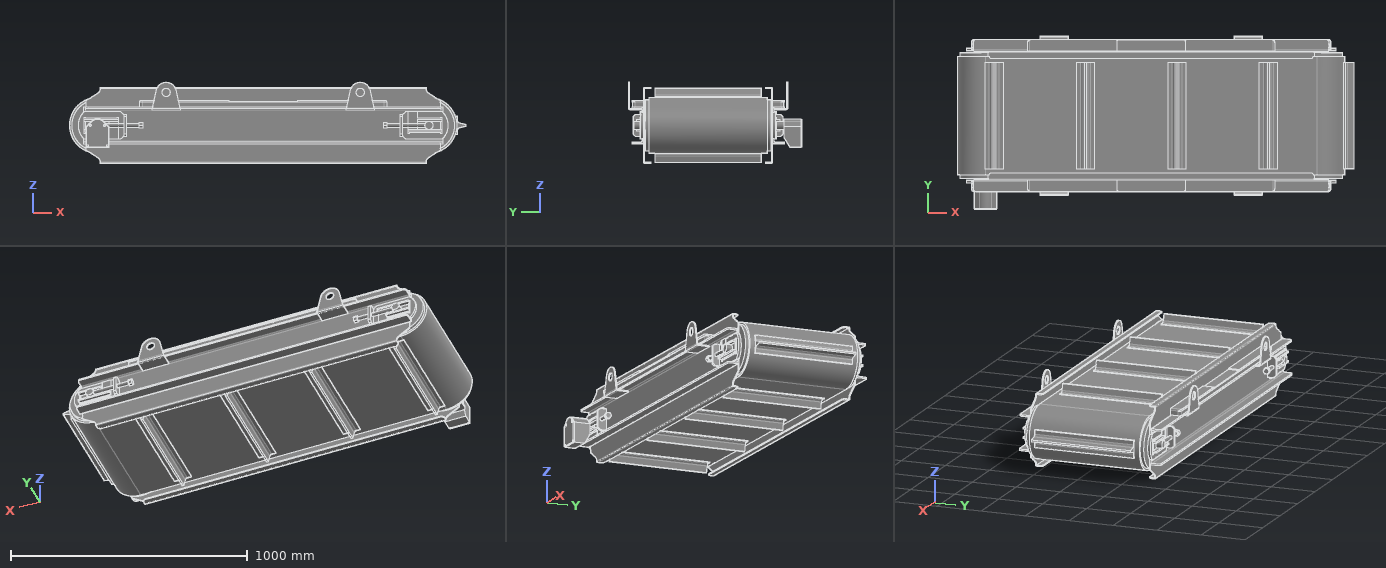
import cadquery as cq
import math

PULLEY_SPACING = 1400.0
PULLEY_DIA = 217.0
PULLEY_LENGTH = 532.0
SHAFT_DIA = 35.0
SHAFT_LENGTH = 626.0

BELT_THICKNESS = 10.0
BELT_WIDTH = 500.0

CLEAT_LENGTH = 450.0
CLEAT_HEIGHT = 38.5
CLEAT_PAD_WIDTH = 78.0
CLEAT_PAD_HEIGHT = 3.0
CLEAT_RIB_WIDTH = 25.0
CLEAT_FILLET = 10.0
CLEAT_ROOT_DEPTH = 8.0
CLEAT_TIP_WIDTH = 8.0
CLEAT_PITCH = 386.5
CLEAT_ROW_START = -664.0
CLEATS_PER_ROW = 4

PLATE_OUTER_Y = 273.0
PLATE_THICKNESS = 5.0
PLATE_HALF_HEIGHT = 160.0
PLATE_HALF_LENGTH = 749.0
PLATE_EDGE_HALF_LENGTH = 689.0
PLATE_STEP_Z = 143.0
PLATE_SHOULDER_Z = 104.0
PLATE_STEP_RADIUS = 20.0
LIP_WIDTH = 31.0
LIP_BEND_RADIUS = 5.0
LIP_CHAMFER = 10.0

CHANNEL_HALF_LENGTH = 759.0
CHANNEL_HALF_HEIGHT = 78.0
CHANNEL_THICKNESS = 6.0
FLANGE_THICKNESS = 7.0
FLANGE_OUTER_Y = 322.0
FLANGE_BEND_RADIUS = 6.0
TOP_FLANGE_HALF_LENGTH = 751.0
FLANGE_CORNER_RADIUS = 12.0

BOX_HALF_LENGTH = 522.0
BOX_TOP_Z = 106.0
BOX_EDGE_RADIUS = 7.0
BOX_INSET = 2.0
BOX_CAP_THICKNESS = 8.0
COVER_HALF_LENGTH = 145.0
COVER_THICKNESS = 4.0

LUG_X = 410.0
LUG_OUTER_Y = 337.0
LUG_THICKNESS = 5.0
LUG_TOP_Z = 182.35
LUG_RADIUS = 43.0
LUG_HOLE_DIA = 35.0
LUG_BASE_WIDTH = 120.0
LUG_BEND_RADIUS = 8.0

TAKEUP_THICKNESS = 6.0
TAKEUP_RADIUS = 81.0
TAKEUP_HALF_HEIGHT = 58.0
TAKEUP_INNER_X = 588.0
TAKEUP_CHAMFER = 14.0

GUIDE_RIB_DEPTH = 18.0
GUIDE_RIB_THICKNESS = 7.0
GUIDE_BASE_DEPTH = 3.0
GUIDE_BASE_WIDTH = 13.0
GUIDE_INNER_X = 612.0
GUIDE_OUTER_X = 756.0
GUIDE_END_THICKNESS = 6.0
GUIDE_END_HALF_HEIGHT = 34.0
KEEPER_WIDTH = 40.0

BRACKET_THICKNESS = 11.0
BRACKET_DEPTH = 32.0
BRACKET_HALF_HEIGHT = 47.0
BRACKET_CHAMFER = 10.0

ROD_DIA = 16.0
ROD_Y = 300.0
ROD_END_X = 508.0
ROD_HEAD_LENGTH = 16.0
ROD_HEAD_FLATS = 24.0

GEARBOX_BACK_Y = -320.0
GEARBOX_FRONT_Y = -397.5
GEARBOX_HALF_WIDTH = 48.0
GEARBOX_RADIUS = 36.0
GEARBOX_ARC_Z = -8.0
GEARBOX_BOTTOM_Z = -93.0
GEARBOX_CHAMFER_Y = 26.0
GEARBOX_CHAMFER_Z = 42.0
GEARBOX_COVER_INSET = 2.0
GEARBOX_COVER_THICKNESS = 5.0
GEARBOX_HOLE_DIA = 8.0
GEARBOX_HOLE_DEPTH = 5.0
GEARBOX_HOLES = [(-30.0, 0.0), (30.0, 0.0), (-42.0, -86.0), (42.0, -86.0)]

PULLEY_X = PULLEY_SPACING / 2
PULLEY_RADIUS = PULLEY_DIA / 2
BELT_RADIUS = PULLEY_RADIUS + BELT_THICKNESS
CHANNEL_OUTER_Y = PLATE_OUTER_Y + CHANNEL_THICKNESS
TAKEUP_OUTER_Y = CHANNEL_OUTER_Y + TAKEUP_THICKNESS
FLANGE_INNER_Z = CHANNEL_HALF_HEIGHT - FLANGE_THICKNESS


def along_y(y_min, y_max):
    """Workplane in X-Z whose extrusion of y_max - y_min fills y_min to y_max."""
    return cq.Workplane("XZ", origin=(0, y_max, 0))


def block(x_range, y_range, z_range):
    """Box given by its limits along each axis."""
    spans = [high - low for low, high in (x_range, y_range, z_range)]
    corner = (x_range[0], y_range[0], z_range[0])
    return cq.Workplane("XY").box(*spans, centered=False).translate(corner)


def make_belt():
    """Flat belt loop around the two pulleys."""
    plane = along_y(-BELT_WIDTH / 2, BELT_WIDTH / 2)
    outer = plane.slot2D(PULLEY_SPACING + 2 * BELT_RADIUS, 2 * BELT_RADIUS).extrude(BELT_WIDTH)
    inner = plane.slot2D(PULLEY_SPACING + PULLEY_DIA, PULLEY_DIA).extrude(BELT_WIDTH)
    return outer.cut(inner)


def make_pulleys():
    """Two pulleys on their shafts."""
    centres = [(-PULLEY_X, 0), (PULLEY_X, 0)]
    half_drum = PULLEY_LENGTH / 2
    half_shaft = SHAFT_LENGTH / 2
    drums = along_y(-half_drum, half_drum).pushPoints(centres).circle(PULLEY_RADIUS).extrude(PULLEY_LENGTH)
    shafts = along_y(-half_shaft, half_shaft).pushPoints(centres).circle(SHAFT_DIA / 2).extrude(SHAFT_LENGTH)
    return drums.union(shafts)


def make_cleat():
    """Cleat standing up on the top run of the belt at X = 0."""
    root = BELT_RADIUS - CLEAT_ROOT_DEPTH
    pad_top = BELT_RADIUS + CLEAT_PAD_HEIGHT
    half_profile = [
        (CLEAT_PAD_WIDTH / 2, root),
        (CLEAT_PAD_WIDTH / 2, pad_top),
        (CLEAT_RIB_WIDTH / 2, pad_top),
        (CLEAT_TIP_WIDTH / 2, BELT_RADIUS + CLEAT_HEIGHT),
    ]
    other_half = [(-x, z) for x, z in reversed(half_profile)]
    plane = along_y(-CLEAT_LENGTH / 2, CLEAT_LENGTH / 2)
    cleat = plane.polyline(half_profile + other_half).close().extrude(CLEAT_LENGTH)
    rib_feet = cq.selectors.BoxSelector(
        (-CLEAT_RIB_WIDTH, -CLEAT_LENGTH, pad_top - 1),
        (CLEAT_RIB_WIDTH, CLEAT_LENGTH, pad_top + 1),
    )
    return cleat.edges("|Y").edges(rib_feet).fillet(CLEAT_FILLET)


def make_cleats():
    """Cleats on both runs of the belt and one at the +X pulley."""
    cleat = make_cleat()
    cleats = cleat.rotate((0, 0, 0), (0, 1, 0), 90).translate((PULLEY_X, 0, 0))
    for index in range(CLEATS_PER_ROW):
        upper = cleat.translate((CLEAT_ROW_START + index * CLEAT_PITCH, 0, 0))
        cleats = cleats.union(upper).union(upper.mirror("XY"))
    return cleats


def make_side_plate():
    """Tall plate with stepped ends and an inward lip along its top and bottom edges."""
    quarter = [
        (PLATE_EDGE_HALF_LENGTH, PLATE_HALF_HEIGHT),
        (PLATE_EDGE_HALF_LENGTH, PLATE_STEP_Z),
        (PLATE_HALF_LENGTH, PLATE_SHOULDER_Z),
    ]
    right = quarter + [(x, -z) for x, z in reversed(quarter)]
    left = [(-x, -z) for x, z in right]
    plane = along_y(PLATE_OUTER_Y - PLATE_THICKNESS, PLATE_OUTER_Y)
    plate = plane.polyline(right + left).close().extrude(PLATE_THICKNESS)
    step_edges = cq.selectors.BoxSelector(
        (-PLATE_EDGE_HALF_LENGTH - 1, 0, -PLATE_STEP_Z - 1),
        (PLATE_EDGE_HALF_LENGTH + 1, PLATE_OUTER_Y + 1, PLATE_STEP_Z + 1),
    )
    plate = plate.edges("|Y").edges(step_edges).fillet(PLATE_STEP_RADIUS)
    lip = block(
        (-PLATE_EDGE_HALF_LENGTH, PLATE_EDGE_HALF_LENGTH),
        (PLATE_OUTER_Y - LIP_WIDTH, PLATE_OUTER_Y),
        (PLATE_HALF_HEIGHT - PLATE_THICKNESS, PLATE_HALF_HEIGHT),
    )
    lip = lip.edges("|Z and <Y").chamfer(LIP_CHAMFER)
    plate = plate.union(lip).union(lip.mirror("XY"))
    bend_edges = cq.selectors.BoxSelector(
        (-1, PLATE_OUTER_Y - 1, -PLATE_HALF_HEIGHT - 1),
        (1, PLATE_OUTER_Y + 1, PLATE_HALF_HEIGHT + 1),
    )
    return plate.edges("|X").edges(bend_edges).fillet(LIP_BEND_RADIUS)


def rounded_strip(half_length, outer_y, z_range):
    """Flat strip along the side plate with rounded outer corners."""
    strip = block((-half_length, half_length), (PLATE_OUTER_Y, outer_y), z_range)
    return strip.edges("|Z and >Y").fillet(FLANGE_CORNER_RADIUS)


def make_channel():
    """Channel fixed to the outside of the side plate."""
    web = block(
        (-CHANNEL_HALF_LENGTH, CHANNEL_HALF_LENGTH),
        (PLATE_OUTER_Y, CHANNEL_OUTER_Y),
        (-CHANNEL_HALF_HEIGHT, CHANNEL_HALF_HEIGHT),
    )
    flange_z = (FLANGE_INNER_Z, CHANNEL_HALF_HEIGHT)
    top_flange = rounded_strip(TOP_FLANGE_HALF_LENGTH, FLANGE_OUTER_Y, flange_z)
    bottom_flange = rounded_strip(CHANNEL_HALF_LENGTH, FLANGE_OUTER_Y, flange_z).mirror("XY")
    channel = web.union(top_flange).union(bottom_flange)
    inner_corners = cq.selectors.BoxSelector(
        (-1, CHANNEL_OUTER_Y - 1, -FLANGE_INNER_Z - 1),
        (1, CHANNEL_OUTER_Y + 1, FLANGE_INNER_Z + 1),
    )
    outer_corners = cq.selectors.BoxSelector(
        (-1, PLATE_OUTER_Y - 1, -CHANNEL_HALF_HEIGHT - 1),
        (1, PLATE_OUTER_Y + 1, CHANNEL_HALF_HEIGHT + 1),
    )
    channel = channel.edges("|X").edges(inner_corners).fillet(FLANGE_BEND_RADIUS)
    return channel.edges("|X").edges(outer_corners).fillet(FLANGE_BEND_RADIUS)


def make_raised_box():
    """Raised box on the top flange: two overhanging caps with a lower cover plate between them."""
    cap_bottom_z = BOX_TOP_Z - BOX_CAP_THICKNESS
    cap_z = (cap_bottom_z, BOX_TOP_Z)
    body = rounded_strip(BOX_HALF_LENGTH, FLANGE_OUTER_Y - BOX_INSET, (FLANGE_INNER_Z, cap_bottom_z))
    cap = block((-BOX_HALF_LENGTH, BOX_HALF_LENGTH), (PLATE_OUTER_Y, FLANGE_OUTER_Y), cap_z)
    cap = cap.edges("|Y and >Z").fillet(BOX_EDGE_RADIUS)
    cap = cap.intersect(rounded_strip(BOX_HALF_LENGTH, FLANGE_OUTER_Y, cap_z))
    gap = block((-COVER_HALF_LENGTH, COVER_HALF_LENGTH), (PLATE_OUTER_Y, FLANGE_OUTER_Y), cap_z)
    cover_z = (cap_bottom_z, cap_bottom_z + COVER_THICKNESS)
    cover = rounded_strip(COVER_HALF_LENGTH, FLANGE_OUTER_Y, cover_z)
    return body.union(cap.cut(gap)).union(cover)


def make_lug():
    """Lifting lug at +X: an upright eye on a foot bent under the top flange."""
    foot_z = FLANGE_INNER_Z - LUG_THICKNESS
    eye_z = LUG_TOP_Z - LUG_RADIUS
    half_base = LUG_BASE_WIDTH / 2
    corner_drop = eye_z - foot_z
    corner_distance = math.hypot(half_base, corner_drop)
    corner_angle = math.atan2(-corner_drop, half_base)
    tangent_angle = corner_angle + math.acos(LUG_RADIUS / corner_distance)
    tangent_x = LUG_RADIUS * math.cos(tangent_angle)
    tangent_z = eye_z + LUG_RADIUS * math.sin(tangent_angle)

    eye = (
        along_y(LUG_OUTER_Y - LUG_THICKNESS, LUG_OUTER_Y)
        .moveTo(-half_base, foot_z)
        .lineTo(half_base, foot_z)
        .lineTo(tangent_x, tangent_z)
        .threePointArc((0, LUG_TOP_Z), (-tangent_x, tangent_z))
        .close()
        .extrude(LUG_THICKNESS)
    )
    foot = block((-half_base, half_base), (PLATE_OUTER_Y, LUG_OUTER_Y), (foot_z, FLANGE_INNER_Z))
    lug = eye.union(foot).edges("|X and >Y and <Z").fillet(LUG_BEND_RADIUS)
    hole = along_y(0, LUG_OUTER_Y).center(0, eye_z).circle(LUG_HOLE_DIA / 2).extrude(LUG_THICKNESS)
    return lug.cut(hole).translate((LUG_X, 0, 0))


def make_takeup_plate():
    """Plate round at the pulley end and chamfered at the other."""
    plane = along_y(PLATE_OUTER_Y, TAKEUP_OUTER_Y)
    depth = TAKEUP_OUTER_Y - PLATE_OUTER_Y
    bar = block(
        (TAKEUP_INNER_X, PULLEY_X + TAKEUP_RADIUS),
        (PLATE_OUTER_Y, TAKEUP_OUTER_Y),
        (-TAKEUP_HALF_HEIGHT, TAKEUP_HALF_HEIGHT),
    )
    bar = bar.edges("|Y and <X").chamfer(TAKEUP_CHAMFER)
    disc = plane.center(PULLEY_X, 0).circle(TAKEUP_RADIUS).extrude(depth)
    inner_side = block(
        (TAKEUP_INNER_X, PULLEY_X),
        (PLATE_OUTER_Y, TAKEUP_OUTER_Y),
        (-TAKEUP_RADIUS, TAKEUP_RADIUS),
    )
    return bar.intersect(disc.union(inner_side))


def make_guides():
    """Angle bars above and below the shaft, an upright at each end and a keeper plate at the inner end."""
    base_y = (CHANNEL_OUTER_Y, TAKEUP_OUTER_Y + GUIDE_BASE_DEPTH)
    rib_y = (CHANNEL_OUTER_Y, TAKEUP_OUTER_Y + GUIDE_RIB_DEPTH)
    base_z = (SHAFT_DIA / 2, SHAFT_DIA / 2 + GUIDE_BASE_WIDTH)
    rib_z = (SHAFT_DIA / 2, SHAFT_DIA / 2 + GUIDE_RIB_THICKNESS)
    end_z = (-GUIDE_END_HALF_HEIGHT, GUIDE_END_HALF_HEIGHT)

    def angle(inner_x):
        span = (inner_x, GUIDE_OUTER_X)
        return block(span, base_y, base_z).union(block(span, rib_y, rib_z))

    guides = angle(GUIDE_INNER_X + KEEPER_WIDTH).union(angle(GUIDE_INNER_X).mirror("XY"))
    for end_x in (GUIDE_INNER_X, GUIDE_OUTER_X - GUIDE_END_THICKNESS):
        guides = guides.union(block((end_x, end_x + GUIDE_END_THICKNESS), base_y, end_z))
    keeper_x = (GUIDE_INNER_X, GUIDE_INNER_X + KEEPER_WIDTH)
    return guides.union(block(keeper_x, base_y, (-SHAFT_DIA / 2, TAKEUP_HALF_HEIGHT)))


def make_tension_rod():
    """Bracket and hex-headed rod that pushes on the pulley shaft."""
    bracket = block(
        (TAKEUP_INNER_X - BRACKET_THICKNESS, TAKEUP_INNER_X),
        (CHANNEL_OUTER_Y, TAKEUP_OUTER_Y + BRACKET_DEPTH),
        (-BRACKET_HALF_HEIGHT, BRACKET_HALF_HEIGHT),
    )
    bracket = bracket.edges("|X and >Y").chamfer(BRACKET_CHAMFER)
    rod_start = cq.Workplane("YZ", origin=(ROD_END_X, ROD_Y, 0))
    rod = rod_start.circle(ROD_DIA / 2).extrude(PULLEY_X - ROD_END_X)
    head_diameter = ROD_HEAD_FLATS / math.cos(math.pi / 6)
    head = rod_start.polygon(6, head_diameter).extrude(ROD_HEAD_LENGTH)
    return bracket.union(rod).union(head)


def gearbox_outline(plane):
    """House-shaped outline with a rounded ridge, drawn on the given plane."""
    slant_x = GEARBOX_RADIUS * math.sin(math.pi / 4)
    slant_z = GEARBOX_ARC_Z + slant_x
    side_top_z = slant_z - (GEARBOX_HALF_WIDTH - slant_x)
    return (
        plane.moveTo(-GEARBOX_HALF_WIDTH, GEARBOX_BOTTOM_Z)
        .lineTo(GEARBOX_HALF_WIDTH, GEARBOX_BOTTOM_Z)
        .lineTo(GEARBOX_HALF_WIDTH, side_top_z)
        .lineTo(slant_x, slant_z)
        .threePointArc((0, GEARBOX_ARC_Z + GEARBOX_RADIUS), (-slant_x, slant_z))
        .lineTo(-GEARBOX_HALF_WIDTH, side_top_z)
        .close()
    )


def make_gearbox():
    """Gearbox on the -X pulley shaft at the -Y side, with a cover plate on its front."""
    cover_back_y = GEARBOX_FRONT_Y + GEARBOX_COVER_THICKNESS
    cover_outline = gearbox_outline(along_y(GEARBOX_FRONT_Y, cover_back_y))
    cover_outline = cover_outline.offset2D(-GEARBOX_COVER_INSET, "intersection")
    cover = cover_outline.extrude(GEARBOX_COVER_THICKNESS)
    body_plane = along_y(cover_back_y, GEARBOX_BACK_Y)
    body = gearbox_outline(body_plane).extrude(GEARBOX_BACK_Y - cover_back_y)
    body = body.edges("|X and >Y and <Z").chamfer(GEARBOX_CHAMFER_Y, GEARBOX_CHAMFER_Z)
    holes = (
        along_y(GEARBOX_FRONT_Y, GEARBOX_FRONT_Y + GEARBOX_HOLE_DEPTH)
        .pushPoints(GEARBOX_HOLES)
        .circle(GEARBOX_HOLE_DIA / 2)
        .extrude(GEARBOX_HOLE_DEPTH)
    )
    shaft_length = -PLATE_OUTER_Y - GEARBOX_BACK_Y
    shaft_plane = along_y(GEARBOX_BACK_Y, -PLATE_OUTER_Y)
    drive_shaft = shaft_plane.circle(SHAFT_DIA / 2).extrude(shaft_length)
    return body.union(cover).cut(holes).union(drive_shaft).translate((-PULLEY_X, 0, 0))


def make_side_frame():
    """Everything carried on the +Y side of the conveyor."""
    takeup = make_takeup_plate().union(make_guides()).union(make_tension_rod())
    opposite_takeup = takeup.rotate((0, 0, 0), (0, 1, 0), 180)
    frame = make_side_plate().union(make_channel()).union(make_raised_box())
    lug = make_lug()
    frame = frame.union(lug).union(lug.mirror("YZ"))
    return frame.union(takeup).union(opposite_takeup)


side_frame = make_side_frame()
result = make_belt().union(make_pulleys()).union(make_cleats())
result = result.union(side_frame).union(side_frame.mirror("XZ")).union(make_gearbox())